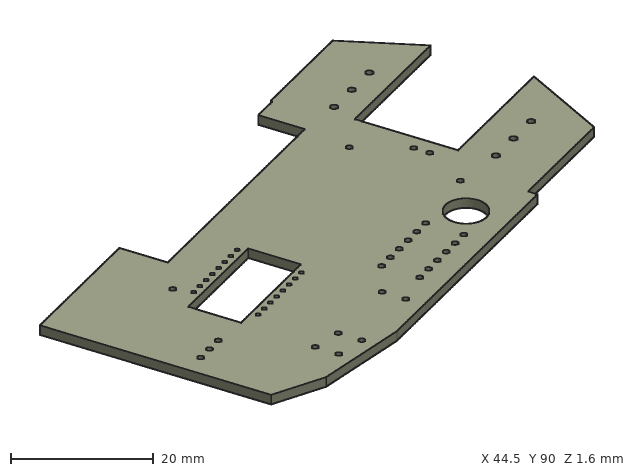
import cadquery as cq

width = 44.5
length = 90.0
thickness = 1.6

slot_left = 12.6
slot_right = 29.2
slot_floor = 68.1
left_arm_shoulder = 84.4
right_arm_shoulder = 82.6
right_arm_edge = 42.9
right_step_y = 63.5

left_step_depth = 0.3
left_step_y = 66.5
notch_depth = 7.7
notch_front = 22.95
notch_rear = 62.5

taper_start_y = 22.95
taper_knee = (41.6, 7.7)
front_edge_end = 37.1

window_left = 15.8
window_right = 24.3
window_front = 14.3
window_rear = 31.6

large_hole_diameter = 6.6
arm_hole_diameter = 1.2
lead_hole_diameter = 1.0
pin_hole_diameter = 0.7

large_hole_center = (37.8, 54.9)

arm_columns_x = (8.55, 34.5)
arm_column_rear = 79.65
arm_column_span = 10.2
arm_column_count = 3

header_columns_x = (34.4, 40.5)
header_rear = 49.4
header_span = 12.7
header_count = 6
header_pitch = header_span / (header_count - 1)

pin_columns = ((14.7, 30.5), (25.4, 29.8))
pin_column_span = 12.5
pin_column_count = 8

front_column_x = 23.8
front_column_rear = 8.7
front_column_count = 3

lead_pair_pitch = 3.8
lead_pairs = ((37.7, 30.9), (37.5, 18.5), (36.45, 13.9))

slot_pair_start = (23.5, 65.6)

single_holes = ((15.5, 61.4), (33.3, 61.4), (11.7, 17.3))


def column(x, rear_y, pitch, count):
    """Points in a straight column, running forward from rear_y."""
    return [(x, rear_y - i * pitch) for i in range(count)]


def pair(start, pitch):
    """Two points side by side along X."""
    x, y = start
    return [(x, y), (x + pitch, y)]


def drill(body, points, diameter):
    """Cut through holes at the given points."""
    cutters = cq.Workplane("XY").pushPoints(points).circle(diameter / 2).extrude(thickness)
    return body.cut(cutters)


def make_board():
    """Flat board with its complete outer outline."""
    outline = [
        (0, 0),
        (front_edge_end, 0),
        taper_knee,
        (width, taper_start_y),
        (width, right_step_y),
        (right_arm_edge, right_step_y),
        (right_arm_edge, right_arm_shoulder),
        (slot_right, length),
        (slot_right, slot_floor),
        (slot_left, slot_floor),
        (slot_left, length),
        (0, left_arm_shoulder),
        (0, left_step_y),
        (left_step_depth, left_step_y),
        (left_step_depth, notch_rear),
        (notch_depth, notch_rear),
        (notch_depth, notch_front),
        (0, notch_front),
    ]
    return cq.Workplane("XY").polyline(outline).close().extrude(thickness)


def make_window():
    """Cutter for the rectangular window."""
    return cq.Workplane("XY").box(
        window_right - window_left,
        window_rear - window_front,
        thickness,
        centered=False,
    ).translate((window_left, window_front, 0))


arm_points = []
arm_pitch = arm_column_span / (arm_column_count - 1)
for column_x in arm_columns_x:
    arm_points += column(column_x, arm_column_rear, arm_pitch, arm_column_count)

lead_points = list(single_holes)
lead_points += pair(slot_pair_start, header_pitch)
lead_points += column(front_column_x, front_column_rear, header_pitch, front_column_count)
for column_x in header_columns_x:
    lead_points += column(column_x, header_rear, header_pitch, header_count)
for pair_start in lead_pairs:
    lead_points += pair(pair_start, lead_pair_pitch)

pin_points = []
pin_pitch = pin_column_span / (pin_column_count - 1)
for column_x, column_rear in pin_columns:
    pin_points += column(column_x, column_rear, pin_pitch, pin_column_count)

result = make_board().cut(make_window())
result = drill(result, [large_hole_center], large_hole_diameter)
result = drill(result, arm_points, arm_hole_diameter)
result = drill(result, lead_points, lead_hole_diameter)
result = drill(result, pin_points, pin_hole_diameter)